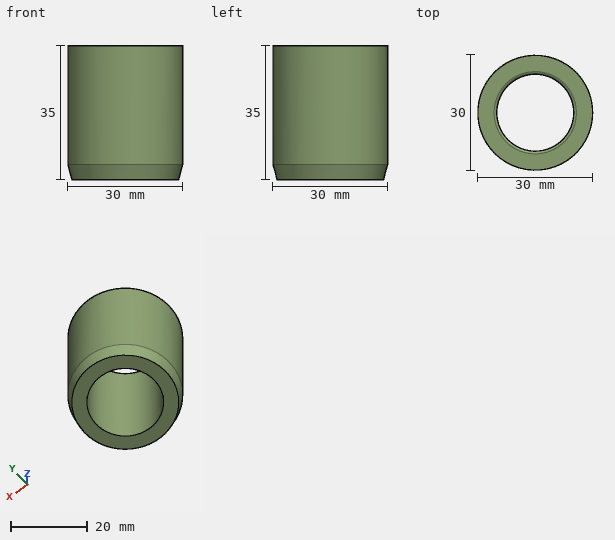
import cadquery as cq
import math

length = 35.0
outer_diameter = 30.0
bore_diameter = 20.0
mouth_radius = 0.75
taper_length = 4.0
taper_angle = 15.0

outer_radius = outer_diameter / 2
bore_radius = bore_diameter / 2
tip_radius = outer_radius - taper_length * math.tan(math.radians(taper_angle))

sleeve = (
    cq.Workplane("XZ")
    .moveTo(bore_radius, 0)
    .lineTo(tip_radius, 0)
    .lineTo(outer_radius, taper_length)
    .lineTo(outer_radius, length)
    .lineTo(bore_radius, length)
    .close()
    .revolve(360, (0, 0, 0), (0, 1, 0))
)

result = sleeve.faces(">Z").edges(cq.selectors.RadiusNthSelector(0)).fillet(mouth_radius)